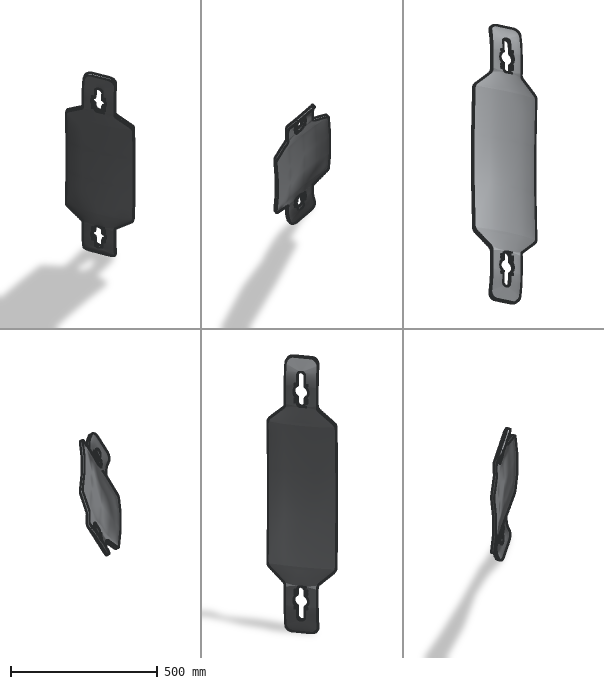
import cadquery as cq
import math

length = 1019.0
deck_width = 241.0
depth = 31.0
thickness = 11.0
half_length = length / 2
half_width = deck_width / 2
neck_y = -depth / 2

platform_half_length = 262.0
concave = 11.0
camber = 8.0
platform_y = depth / 2 - thickness - concave
overhang = 12.0
sheet_half_width = half_width + overhang

platform_blend = 10.0
strip_gap = 1.0
neck_joint_z = 332.0
neck_sheet_half_width = 76.0
shoulder_dish = 5.0
lower_joint_bow = 11.0
upper_joint_bow = 12.0

kick_start_z = 407.0
kick_radius = 306.0
kick_turn = 25.0

tail_half_width = 57.0
tail_corner_radius = 25.0
shoulder_inner_z = 327.0
shoulder_outer_z = 269.0
shoulder_inner_radius = 20.0
shoulder_outer_radius = 25.0
corner_tolerance = 0.001

slot_width = 26.0
slot_top_z = 460.0
slot_bottom_z = 333.0
truck_z = 387.0
truck_hole_diameter = 52.0
bolt_diameter = 5.0
bolt_half_spacing = 20.0
bolt_rows = (414.0, 360.0, 349.0)


def arc_radius(half_chord, rise):
    return (half_chord**2 + rise**2) / (2 * rise)


def cross_curve(half_span, side_y, side_z, centre_y, centre_z):
    """Arc across the deck, symmetric about X = 0."""
    return cq.Edge.makeThreePointArc(
        cq.Vector(-half_span, side_y, side_z),
        cq.Vector(0, centre_y, centre_z),
        cq.Vector(half_span, side_y, side_z),
    )


def slab(first_curve, second_curve):
    """Sheet of the deck's thickness, ruled between two curves across it."""
    face = cq.Face.makeRuledSurface(first_curve, second_curve)
    return cq.Workplane(cq.Solid.extrudeLinear(face, cq.Vector(0, thickness, 0)))


concave_radius = arc_radius(half_width, concave)
camber_radius = arc_radius(platform_half_length, camber)
camber_axis_y = platform_y - camber_radius
camber_angle = math.asin(platform_half_length / camber_radius)
sheet_rise = concave_radius - math.sqrt(concave_radius**2 - sheet_half_width**2)


def platform_point(rise, angle):
    """Y and Z of a point on the lower platform face, by its rise and camber angle."""
    radius = camber_radius + rise
    return camber_axis_y + radius * math.cos(angle), radius * math.sin(angle)


def make_platform():
    side_y = platform_y + sheet_rise
    section = (
        cq.Workplane("XY")
        .moveTo(-sheet_half_width, side_y)
        .threePointArc((0, platform_y), (sheet_half_width, side_y))
        .line(0, thickness)
        .threePointArc((0, platform_y + thickness), (-sheet_half_width, side_y + thickness))
        .close()
    )
    turn = math.degrees(camber_angle)
    axis = ((0, camber_axis_y, 0), (1, camber_axis_y, 0))
    body = section.revolve(2 * turn, *axis)
    return body.rotate(*axis, -turn)


def make_shoulder():
    side = platform_point(sheet_rise, camber_angle)
    centre = platform_point(0, camber_angle)
    platform_end = cross_curve(sheet_half_width, *side, *centre)
    blend_end = cross_curve(
        sheet_half_width, side[0], side[1] + strip_gap, centre[0], centre[1] + platform_blend
    )
    lower_joint = cross_curve(
        neck_sheet_half_width, neck_y + shoulder_dish, neck_joint_z - lower_joint_bow, neck_y, neck_joint_z
    )
    upper_z = neck_joint_z + strip_gap
    upper_joint = cross_curve(neck_sheet_half_width, neck_y, upper_z + upper_joint_bow, neck_y, upper_z)
    curves = [platform_end, blend_end, lower_joint, upper_joint]
    body = slab(curves[0], curves[1])
    for first, second in zip(curves[1:], curves[2:]):
        body = body.union(slab(first, second))
    return body


def make_tail():
    joint_z = neck_joint_z + strip_gap
    kick_line = cq.Edge.makeLine(
        cq.Vector(-neck_sheet_half_width, neck_y, kick_start_z),
        cq.Vector(neck_sheet_half_width, neck_y, kick_start_z),
    )
    joint = cross_curve(neck_sheet_half_width, neck_y, joint_z + upper_joint_bow, neck_y, joint_z)
    kick_axis_offset = kick_radius - thickness / 2
    kick = (
        cq.Workplane("XY", origin=(0, neck_y + thickness / 2, kick_start_z))
        .rect(2 * neck_sheet_half_width, thickness)
        .revolve(kick_turn, (0, kick_axis_offset, 0), (-1, kick_axis_offset, 0))
    )
    return slab(joint, kick_line).union(kick)


class CornerSelector(cq.Selector):
    """Picks the edges along Y whose X and Z match a corner, whatever their signs."""

    def __init__(self, x, z):
        self.corner = (x, z)

    def filter(self, objects):
        picked = []
        for edge in objects:
            centre = edge.Center()
            if math.dist((abs(centre.x), abs(centre.z)), self.corner) < corner_tolerance:
                picked.append(edge)
        return picked


def make_outline():
    """Solid through the whole depth with the deck's outline."""
    corners = [
        (half_width, shoulder_outer_z),
        (tail_half_width, shoulder_inner_z),
        (tail_half_width, half_length),
    ]
    upper_half = corners + [(-x, z) for x, z in reversed(corners)]
    lower_half = [(-x, -z) for x, z in upper_half]
    body = cq.Workplane("XZ").polyline(upper_half + lower_half).close().extrude(2 * depth, both=True)

    corner_radii = (shoulder_outer_radius, shoulder_inner_radius, tail_corner_radius)
    for (x, z), radius in zip(corners, corner_radii):
        body = body.edges(CornerSelector(x, z)).fillet(radius)
    return body


def make_truck_cut():
    slot = (
        cq.Workplane("XZ")
        .center(0, (slot_top_z + slot_bottom_z) / 2)
        .slot2D(slot_top_z - slot_bottom_z, slot_width, 90)
        .extrude(2 * depth, both=True)
    )
    middle = cq.Workplane("XZ").center(0, truck_z).circle(truck_hole_diameter / 2).extrude(2 * depth, both=True)
    bolts = (
        cq.Workplane("XZ")
        .pushPoints([(side * bolt_half_spacing, z) for z in bolt_rows for side in (-1, 1)])
        .circle(bolt_diameter / 2)
        .extrude(2 * depth, both=True)
    )
    return slot.union(middle).union(bolts)


end = make_shoulder().union(make_tail())
deck = make_platform().union(end).union(end.mirror("XY"))
deck = deck.intersect(make_outline())
truck_cut = make_truck_cut()
result = deck.cut(truck_cut).cut(truck_cut.mirror("XY"))